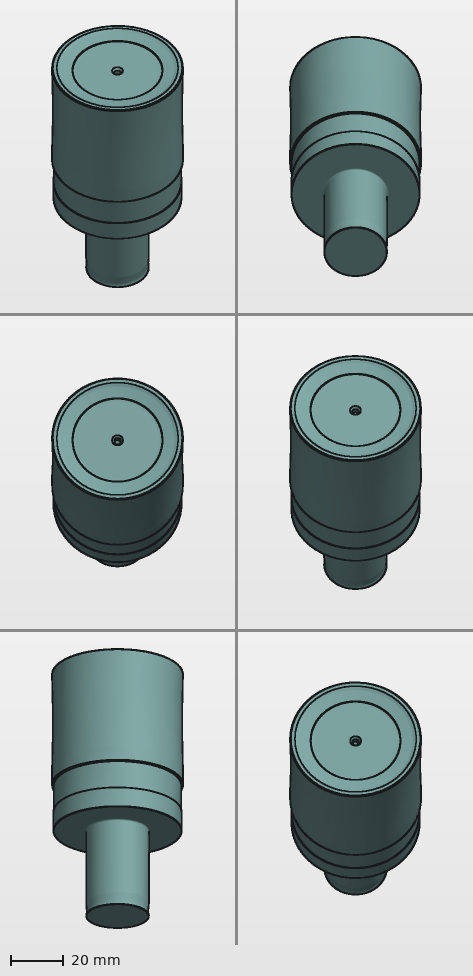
import cadquery as cq

total_height = 100.0
tip_chamfer = 0.2
tip_groove_bottom = 1.3
tip_groove_top = 2.0
tip_taper_start = 5.1
flange_bottom = 35.1
neck_bottom = 43.1
head_bottom = 53.8
waist_bottom = 59.6

shank_radius = 12.0
tip_groove_radius = 11.7
flange_radius = 24.5
neck_radius = 24.3
head_radius = 25.0
waist_radius = 24.7
edge_chamfer = 0.4
flange_chamfer = 0.2
shank_fillet = 0.6

rim_inner_radius = 23.1
dish_outer_radius = 21.7
dish_outer_depth = 0.5
dish_inner_radius = 17.2
dish_inner_depth = 1.2
floor_step_radius = 17.0
floor_radius = 16.0
floor_step_depth = 1.4
floor_depth = 1.5

countersink_radius = 2.1
hole_depth = 3.0
hole_radius = 1.3
countersink_depth = 1.0
drill_point_depth = 0.8

waist_top = total_height - edge_chamfer
waist_middle = (waist_bottom + waist_top) / 2
floor_height = total_height - floor_depth


def make_turned_body():
    """Revolve the half section, from the shank end up to the dished top."""
    half_section = (
        cq.Workplane("XZ")
        .moveTo(0, 0)
        .lineTo(shank_radius - tip_chamfer, 0)
        .lineTo(shank_radius, tip_chamfer)
        .lineTo(tip_groove_radius, tip_groove_bottom)
        .lineTo(tip_groove_radius, tip_groove_top)
        .lineTo(shank_radius, tip_taper_start)
        .lineTo(shank_radius, flange_bottom - shank_fillet)
        .radiusArc((shank_radius + shank_fillet, flange_bottom), shank_fillet)
        .lineTo(flange_radius - flange_chamfer, flange_bottom)
        .lineTo(flange_radius, flange_bottom + flange_chamfer)
        .lineTo(flange_radius, neck_bottom - flange_chamfer)
        .lineTo(neck_radius, neck_bottom)
        .lineTo(neck_radius, head_bottom)
        .lineTo(head_radius - edge_chamfer, head_bottom)
        .lineTo(head_radius, head_bottom + edge_chamfer)
        .lineTo(head_radius, waist_bottom)
        .threePointArc((waist_radius, waist_middle), (head_radius, waist_top))
        .lineTo(head_radius - edge_chamfer, total_height)
        .lineTo(rim_inner_radius, total_height)
        .lineTo(dish_outer_radius, total_height - dish_outer_depth)
        .lineTo(dish_inner_radius, total_height - dish_inner_depth)
        .lineTo(floor_step_radius, total_height - floor_step_depth)
        .lineTo(floor_radius, floor_height)
        .lineTo(0, floor_height)
        .close()
    )
    return half_section.revolve(360, (0, 0, 0), (0, 1, 0))


def make_centre_hole():
    """Countersunk mouth narrowing to a blind hole with a conical bottom."""
    half_section = (
        cq.Workplane("XZ")
        .moveTo(0, floor_height)
        .lineTo(countersink_radius, floor_height)
        .lineTo(hole_radius, floor_height - countersink_depth)
        .lineTo(hole_radius, floor_height - hole_depth)
        .lineTo(0, floor_height - hole_depth - drill_point_depth)
        .close()
    )
    return half_section.revolve(360, (0, 0, 0), (0, 1, 0))


result = make_turned_body().cut(make_centre_hole())